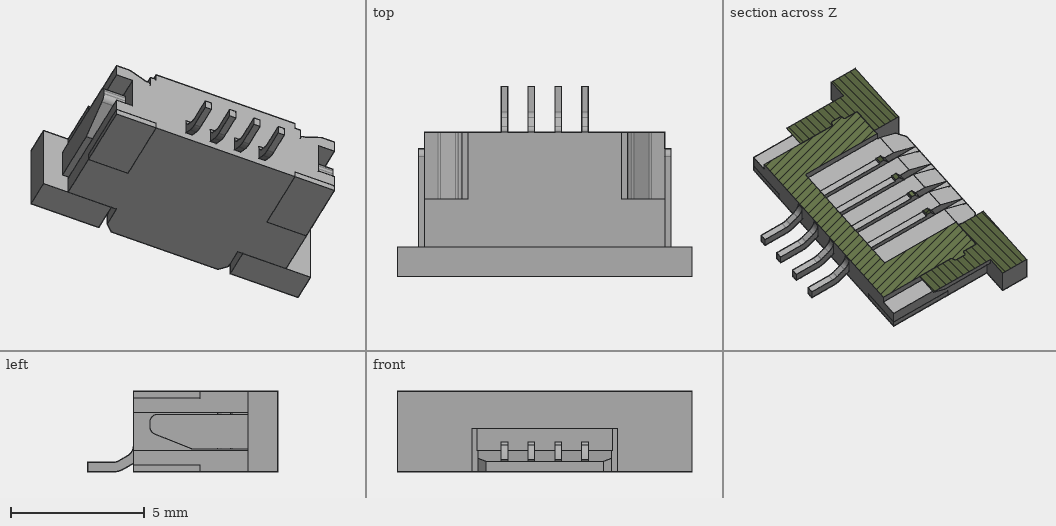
import cadquery as cq
import math


HEIGHT = 3.01
REAR_Y = 5.39
PIN_END_Y = 7.1

PLATE_WIDTH = 11.0
PLATE_DEPTH = 1.11
WINDOW_WIDTH = 5.41
WINDOW_HEIGHT = 1.63
ARM_OUTER_X = 4.72
ARM_END_Y = 4.77
ARM_HEIGHT = 1.29
ARM_TAPER_Y = 3.21
ARM_TAPER_ANGLE = 21.7
ARM_NOSE_RADIUS = 0.3

HOUSING_WIDTH = 8.98
SLOT_HEIGHT = 1.43
SLOT_DEPTH = 0.66
TOOTH_FRONT_Y = 1.7
TOOTH_REAR_Y = 2.24
TOOTH_HEIGHT = 0.16
TOOTH_REAR_RADIUS = 0.13
TOOTH_FRONT_CHAMFER = 0.05
CAVITY_WIDTH = 5.06
CAVITY_END_Y = 4.4
TONGUE_WIDTH = 4.99
TONGUE_HEIGHT = 0.79
TONGUE_TIP_HEIGHT = 0.4
TONGUE_RAMP_LENGTH = 1.01
TONGUE_CORNER = 0.3

CORNER_WIDTH = 1.63
CORNER_LENGTH = 2.49
CORNER_DEPTH = 0.26
LIP_WIDTH = 0.55
GROOVE_SLOPE_END = 1.21
GROOVE_FLOOR_END = 1.26
GROOVE_WALL = 1.4
GROOVE_DEPTH = 0.31
GROOVE_BLEND_RADIUS = 0.22

PIN_COUNT = 4
PIN_PITCH = 1.0
PIN_WIDTH = 0.25
PIN_THICKNESS = 0.36
PIN_TIP_Y = 1.32
PIN_BEAM_TOP = 1.0
PIN_BEAM_BOTTOM = TONGUE_TIP_HEIGHT
PIN_TIP_CHAMFER = 0.08
PIN_NOSE_LENGTH = 0.28
PIN_NOSE_BULGE = 0.04
PIN_BUMP_RADIUS = 0.12
FOOT_LENGTH = 0.96
FOOT_BEND_RADIUS = 0.4
REAR_BEND_RADIUS = 0.44
TAIL_ANGLE = 30.0

SIDE_X = HOUSING_WIDTH / 2
MID_Z = HEIGHT / 2
SLOT_BOTTOM = MID_Z - SLOT_HEIGHT / 2
SLOT_TOP = MID_Z + SLOT_HEIGHT / 2
ARM_BOTTOM = MID_Z - ARM_HEIGHT / 2
ARM_TOP = MID_Z + ARM_HEIGHT / 2


def block(x0, x1, y0, y1, z0, z1):
    """Box given by its limits along the three axes."""
    return cq.Workplane("XY").box(x1 - x0, y1 - y0, z1 - z0, centered=False).translate((x0, y0, z0))


def centred_block(width, y0, y1, z0, z1):
    return block(-width / 2, width / 2, y0, y1, z0, z1)


def both_sides(shape):
    """The shape on the +X side together with its mirror image."""
    return [shape, shape.mirror("YZ")]


def make_tooth():
    """Latch tooth on the wall of the +X slot, from the slot top down to the arm underside."""
    wall_x = SIDE_X - SLOT_DEPTH
    tooth_x = wall_x + TOOTH_HEIGHT
    return (
        block(wall_x, tooth_x, TOOTH_FRONT_Y, TOOTH_REAR_Y, ARM_BOTTOM, SLOT_TOP)
        .edges("|Z and >X and >Y")
        .fillet(TOOTH_REAR_RADIUS)
        .edges("|Z and >X and <Y")
        .chamfer(TOOTH_FRONT_CHAMFER)
    )


def make_arm():
    """Slider arm on the +X side, rounded and tapered at the rear and notched for the latch tooth."""
    nose_z = ARM_BOTTOM + (ARM_END_Y - ARM_TAPER_Y) * math.tan(math.radians(ARM_TAPER_ANGLE))
    inner_x = SIDE_X - SLOT_DEPTH
    return (
        cq.Workplane("YZ", origin=(inner_x, 0, 0))
        .moveTo(PLATE_DEPTH, ARM_BOTTOM)
        .lineTo(ARM_TAPER_Y, ARM_BOTTOM)
        .lineTo(ARM_END_Y, nose_z)
        .lineTo(ARM_END_Y, ARM_TOP)
        .lineTo(PLATE_DEPTH, ARM_TOP)
        .close()
        .extrude(ARM_OUTER_X - inner_x)
        .edges("|X and >Y")
        .fillet(ARM_NOSE_RADIUS)
        .cut(make_tooth())
    )


def make_slider():
    slider = centred_block(PLATE_WIDTH, 0, PLATE_DEPTH, 0, HEIGHT)
    slider = slider.cut(centred_block(WINDOW_WIDTH, 0, PLATE_DEPTH, 0, WINDOW_HEIGHT))
    for arm in both_sides(make_arm()):
        slider = slider.union(arm)
    return slider


def pin_positions():
    return [(i - (PIN_COUNT - 1) / 2) * PIN_PITCH for i in range(PIN_COUNT)]


def make_pin(x):
    """Contact beam with a rounded nose and a bump, and a tail bent down to a solder foot."""
    sin_a = math.sin(math.radians(TAIL_ANGLE))
    cos_a = math.cos(math.radians(TAIL_ANGLE))
    sin_half = math.sin(math.radians(TAIL_ANGLE / 2))
    cos_half = math.cos(math.radians(TAIL_ANGLE / 2))

    bend_y = PIN_END_Y - FOOT_LENGTH
    bend_z = PIN_THICKNESS + FOOT_BEND_RADIUS
    outer_radius = bend_z

    def on_foot_bend(radius, sin_turn, cos_turn):
        return (bend_y - radius * sin_turn, bend_z - radius * cos_turn)

    top_slope_start = on_foot_bend(FOOT_BEND_RADIUS, sin_a, cos_a)
    under_slope_start = on_foot_bend(outer_radius, sin_a, cos_a)

    rear_y = REAR_Y + REAR_BEND_RADIUS
    slope_end_y = rear_y - REAR_BEND_RADIUS * sin_a
    slope_end_z = top_slope_start[1] + (top_slope_start[0] - slope_end_y) * sin_a / cos_a
    rear_z = slope_end_z + REAR_BEND_RADIUS * cos_a
    half_turn = math.radians((90 + TAIL_ANGLE) / 2)
    rear_mid = (
        rear_y - REAR_BEND_RADIUS * math.sin(half_turn),
        rear_z - REAR_BEND_RADIUS * math.cos(half_turn),
    )

    under_end_y = under_slope_start[0] - (PIN_BEAM_BOTTOM - under_slope_start[1]) * cos_a / sin_a

    nose_z = PIN_BEAM_BOTTOM + PIN_TIP_CHAMFER
    nose_rise = PIN_BEAM_TOP - nose_z
    nose_end_y = PIN_TIP_Y + PIN_NOSE_LENGTH
    bulge = PIN_NOSE_BULGE / math.hypot(PIN_NOSE_LENGTH, nose_rise)
    nose_mid = (
        PIN_TIP_Y + PIN_NOSE_LENGTH / 2 - bulge * nose_rise,
        nose_z + nose_rise / 2 + bulge * PIN_NOSE_LENGTH,
    )
    bump_y = nose_end_y + PIN_BUMP_RADIUS

    return (
        cq.Workplane("YZ", origin=(x - PIN_WIDTH / 2, 0, 0))
        .moveTo(PIN_TIP_Y + PIN_TIP_CHAMFER, PIN_BEAM_BOTTOM)
        .lineTo(PIN_TIP_Y, nose_z)
        .threePointArc(nose_mid, (nose_end_y, PIN_BEAM_TOP))
        .threePointArc((bump_y, PIN_BEAM_TOP + PIN_BUMP_RADIUS), (bump_y + PIN_BUMP_RADIUS, PIN_BEAM_TOP))
        .lineTo(REAR_Y, PIN_BEAM_TOP)
        .lineTo(REAR_Y, rear_z)
        .threePointArc(rear_mid, (slope_end_y, slope_end_z))
        .lineTo(*top_slope_start)
        .threePointArc(on_foot_bend(FOOT_BEND_RADIUS, sin_half, cos_half), (bend_y, PIN_THICKNESS))
        .lineTo(PIN_END_Y, PIN_THICKNESS)
        .lineTo(PIN_END_Y, 0)
        .lineTo(bend_y, 0)
        .threePointArc(on_foot_bend(outer_radius, sin_half, cos_half), under_slope_start)
        .lineTo(under_end_y, PIN_BEAM_BOTTOM)
        .close()
        .extrude(PIN_WIDTH)
    )


def make_tongue():
    """Ramped tongue that reaches forward through the slider window."""
    return (
        cq.Workplane("YZ", origin=(-TONGUE_WIDTH / 2, 0, 0))
        .moveTo(0, 0)
        .lineTo(0, TONGUE_TIP_HEIGHT)
        .lineTo(TONGUE_RAMP_LENGTH, TONGUE_HEIGHT)
        .lineTo(PLATE_DEPTH, TONGUE_HEIGHT)
        .lineTo(PLATE_DEPTH, 0)
        .close()
        .extrude(TONGUE_WIDTH)
        .edges("|Z and <Y")
        .chamfer(TONGUE_CORNER)
    )


def make_corner_recess():
    """Cutter for the recess in the top of the +X rear corner, with its sloping groove."""
    floor_z = HEIGHT - CORNER_DEPTH
    groove_z = floor_z - GROOVE_DEPTH
    round_size = GROOVE_WALL - GROOVE_FLOOR_END
    diagonal = math.sqrt(0.5)
    recess = (
        cq.Workplane("XZ", origin=(0, REAR_Y, 0))
        .moveTo(SIDE_X, HEIGHT)
        .lineTo(SIDE_X, floor_z)
        .lineTo(SIDE_X - LIP_WIDTH, floor_z)
        .lineTo(SIDE_X - GROOVE_SLOPE_END, groove_z)
        .lineTo(SIDE_X - GROOVE_FLOOR_END, groove_z)
        .threePointArc(
            (SIDE_X - GROOVE_FLOOR_END - round_size * diagonal, groove_z - round_size * (1 - diagonal)),
            (SIDE_X - GROOVE_WALL, groove_z - round_size),
        )
        .lineTo(SIDE_X - GROOVE_WALL, floor_z)
        .lineTo(SIDE_X - CORNER_WIDTH, floor_z)
        .lineTo(SIDE_X - CORNER_WIDTH, HEIGHT)
        .close()
        .extrude(CORNER_LENGTH)
    )
    mid_y = REAR_Y - CORNER_LENGTH / 2
    slope_ends = [(SIDE_X - LIP_WIDTH, floor_z), (SIDE_X - GROOVE_SLOPE_END, groove_z)]
    for x, z in slope_ends:
        recess = recess.edges(cq.NearestToPointSelector((x, mid_y, z))).fillet(GROOVE_BLEND_RADIUS)
    return recess


def make_tab():
    """Solder tab that fills the recess under the +X rear corner."""
    return block(SIDE_X - CORNER_WIDTH, SIDE_X, REAR_Y - CORNER_LENGTH, REAR_Y, 0, CORNER_DEPTH)


def make_housing(pins, tabs):
    housing = centred_block(HOUSING_WIDTH, PLATE_DEPTH, REAR_Y, 0, HEIGHT).union(make_tongue())
    cavity = centred_block(CAVITY_WIDTH, PLATE_DEPTH, CAVITY_END_Y, TONGUE_HEIGHT, WINDOW_HEIGHT)
    housing = housing.cut(cavity)
    slot = block(SIDE_X - SLOT_DEPTH, SIDE_X, PLATE_DEPTH, REAR_Y, SLOT_BOTTOM, SLOT_TOP)
    slot = slot.cut(make_tooth())
    for cutter in both_sides(slot) + both_sides(make_corner_recess()) + tabs + pins:
        housing = housing.cut(cutter)
    groove = centred_block(PIN_WIDTH, 0, CAVITY_END_Y, TONGUE_TIP_HEIGHT, TONGUE_HEIGHT)
    for x in pin_positions():
        housing = housing.cut(groove.translate((x, 0, 0)))
    return housing


slider = make_slider()
pins = [make_pin(x) for x in pin_positions()]
tabs = both_sides(make_tab())
housing = make_housing(pins, tabs)

bodies = [housing, slider, *pins, *tabs]
result = cq.Compound.makeCompound([body.solids().val() for body in bodies])